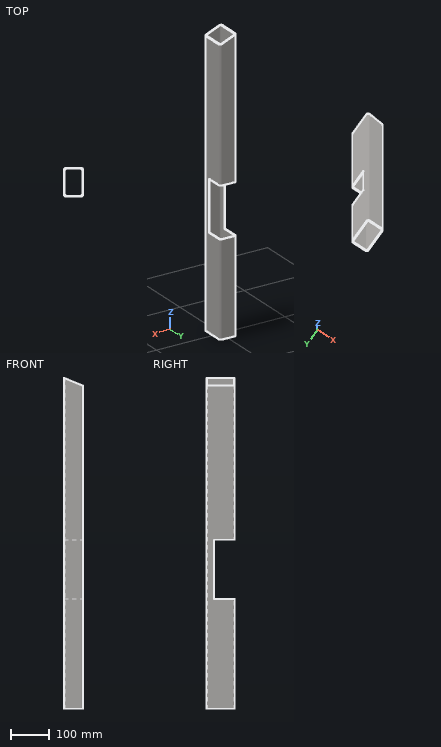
import cadquery as cq
import math

width = 50.8
depth = 76.2
length = 869.95
wall = 3.048
outer_radius = 6.0
inner_radius = outer_radius - wall

miter_angle = 22.5
miter_drop = width * math.tan(math.radians(miter_angle))

notch_bottom = 289.0
notch_height = 154.5
notch_depth = 55.0


def rounded_bar(size_x, size_y, radius):
    """Full-length bar centred on the tube axis, with rounded long edges."""
    return (
        cq.Workplane("XY")
        .center(width / 2, depth / 2)
        .rect(size_x, size_y)
        .extrude(length)
        .edges("|Z")
        .fillet(radius)
    )


def make_tube():
    outside = rounded_bar(width, depth, outer_radius)
    inside = rounded_bar(width - 2 * wall, depth - 2 * wall, inner_radius)
    return outside.cut(inside)


def make_miter_cutter():
    """Wedge above the sloping top end."""
    return (
        cq.Workplane("XZ")
        .moveTo(0, length)
        .lineTo(width, length)
        .lineTo(width, length - miter_drop)
        .close()
        .extrude(-depth)
    )


def make_notch_cutter():
    """Block spanning the full tube width, open towards +Y."""
    return cq.Workplane("XY").box(width, notch_depth, notch_height, centered=False).translate(
        (0, depth - notch_depth, notch_bottom)
    )


result = make_tube().cut(make_miter_cutter()).cut(make_notch_cutter())